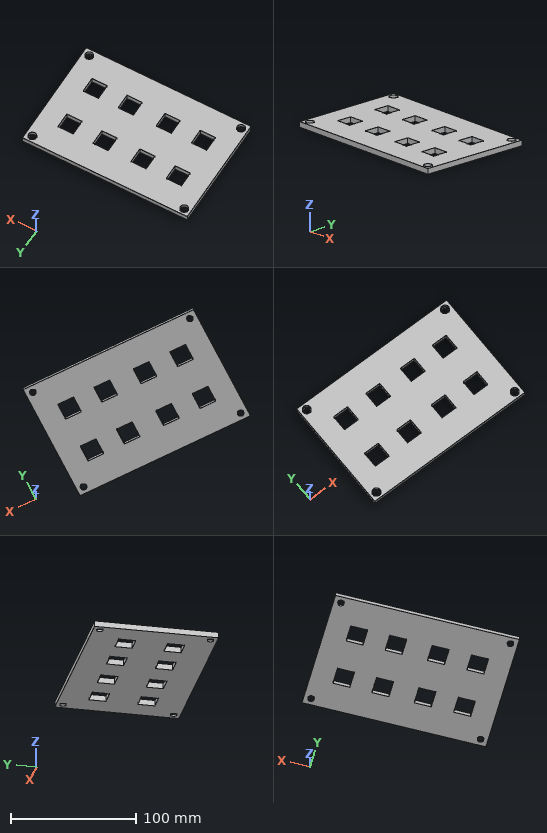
import cadquery as cq

length = 152.5
width = 101.5
thickness = 5.0

window_size = 13.9
column_positions = [-50.0, -17.4, 17.7, 50.0]
row_positions = [-20.0, 20.0]

hole_inset_x = 6.1
hole_inset_y = 5.6
hole_diameter = 5.0
counterbore_diameter = 7.0
counterbore_depth = 3.0

window_centers = [(x, y) for x in column_positions for y in row_positions]


def make_plate():
    return cq.Workplane("XY").box(length, width, thickness, centered=(True, True, False))


def cut_windows(body):
    return (
        body.faces(">Z").workplane(origin=(0, 0))
        .pushPoints(window_centers)
        .rect(window_size, window_size)
        .cutThruAll()
    )


def cut_screw_holes(body):
    return (
        body.faces(">Z").workplane(origin=(0, 0))
        .rect(length - 2 * hole_inset_x, width - 2 * hole_inset_y, forConstruction=True)
        .vertices()
        .cboreHole(hole_diameter, counterbore_diameter, counterbore_depth)
    )


result = cut_screw_holes(cut_windows(make_plate()))